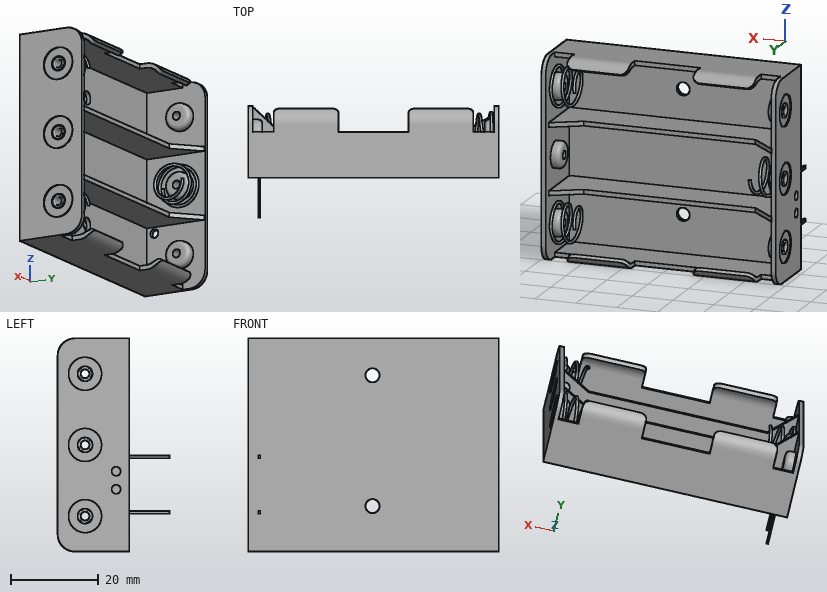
import cadquery as cq
import math


LENGTH = 57.5
DEPTH = 16.5
HEIGHT = 49.0
WALL = 1.1
RIM_Y = 10.6
CORNER_RADIUS = 4.0
INNER_LENGTH = LENGTH - 2 * WALL

CELL_PITCH = 16.35
CELL_AXIS_Y = 10.2
CELL_ZS = [-CELL_PITCH, 0.0, CELL_PITCH]
RIB_ZS = [-CELL_PITCH / 2, CELL_PITCH / 2]

TAB_LENGTH = 14.95
TAB_CENTER_X = 15.45
TAB_ARC = math.radians(60)
TAB_TIP_RADIUS = 1.7

LEFT_GUSSET_Y = 16.3
LEFT_GUSSET_RUN = 6.1
RIGHT_GUSSET_Y = 14.55
RIGHT_GUSSET_RUN = 7.15

MOUNT_HOLE_DIAMETER = 3.15
MOUNT_HOLE_X = -0.25
MOUNT_HOLE_ZS = [-14.05, 16.0]
WIRE_HOLE_DIAMETER = 2.05
WIRE_HOLE_Y = 3.05
WIRE_HOLE_ZS = [-10.2, -6.05]

PIN_LENGTH = 9.2
PIN_WIDTH_X = 0.4
PIN_WIDTH_Z = 0.7
PIN_X = -26.2
PIN_ZS = [-15.45, -2.75]

SEAT_RADIUS = 3.8
SEAT_DEPTH = 0.3
RIVET_SHANK_RADIUS = 1.5
RIVET_RIM_RADIUS = 1.7
RIVET_RIM_ROUNDING = 0.2
RIVET_BORE_RADIUS = 1.0
RIVET_HEAD_RADIUS = 3.2
RIVET_HEAD_LENGTH = 2.2
RIVET_HEAD_ROUNDING = 1.05

WIRE_DIAMETER = 0.65
SPRING_BASE_RADIUS = 4.7
SPRING_TAPER = 0.4
SPRING_CLOSED_TURNS = 0.5
SPRING_CLOSED_PITCH = 0.7
SPRING_OPEN_PITCH = 2.75
SPRING_OPEN_TURNS = 2
CURVE_POINTS_PER_TURN = 16


def box(x_range, y_range, z_range):
    """Box between the given limits."""
    (x0, x1), (y0, y1), (z0, z1) = x_range, y_range, z_range
    return cq.Workplane("XY").box(x1 - x0, y1 - y0, z1 - z0, centered=False).translate((x0, y0, z0))


def rod_along_x(x0, x1, y, z, radius):
    """Cylinder along X from x0 to x1."""
    return cq.Workplane("YZ", origin=(x0, y, z)).circle(radius).extrude(x1 - x0)


def tray():
    """Floor, side walls and end walls; the end walls have rounded open corners."""
    block = cq.Workplane("XY").box(LENGTH, DEPTH, HEIGHT).translate((0, DEPTH / 2, 0))
    block = block.edges("|X and >Y").fillet(CORNER_RADIUS)
    half_inner, half_height = INNER_LENGTH / 2, HEIGHT / 2
    inside = box((-half_inner, half_inner), (WALL, DEPTH), (WALL - half_height, half_height - WALL))
    above_rim = box((-half_inner, half_inner), (RIM_Y, DEPTH), (-half_height, half_height))
    return block.cut(inside).cut(above_rim)


def retaining_tab(center_x):
    """Tab on the +Z side wall: a straight root, then an arc that bends inwards over the cell."""
    arc_y = DEPTH - CORNER_RADIUS
    arc_z = HEIGHT / 2 - CORNER_RADIUS
    inner_radius = CORNER_RADIUS - WALL

    def arc_point(radius, angle):
        return (arc_y + radius * math.sin(angle), arc_z + radius * math.cos(angle))

    profile = (
        cq.Workplane("YZ", origin=(center_x - TAB_LENGTH / 2, 0, 0))
        .moveTo(RIM_Y, HEIGHT / 2)
        .lineTo(*arc_point(CORNER_RADIUS, 0))
        .threePointArc(arc_point(CORNER_RADIUS, TAB_ARC / 2), arc_point(CORNER_RADIUS, TAB_ARC))
        .lineTo(*arc_point(inner_radius, TAB_ARC))
        .threePointArc(arc_point(inner_radius, TAB_ARC / 2), arc_point(inner_radius, 0))
        .lineTo(RIM_Y, HEIGHT / 2 - WALL)
        .close()
    )
    tip_normal = cq.Vector(0, math.cos(TAB_ARC), -math.sin(TAB_ARC))
    tab = profile.extrude(TAB_LENGTH)
    return tab.faces(cq.DirectionMinMaxSelector(tip_normal, True)).edges("not |X").fillet(TAB_TIP_RADIUS)


def rib(center_z):
    """Wall between two cells, rising in a slope to each end wall."""
    end_x = INNER_LENGTH / 2
    outline = [
        (-end_x, WALL),
        (-end_x, LEFT_GUSSET_Y),
        (-end_x + LEFT_GUSSET_RUN, RIM_Y),
        (end_x - RIGHT_GUSSET_RUN, RIM_Y),
        (end_x, RIGHT_GUSSET_Y),
        (end_x, WALL),
    ]
    plate = cq.Workplane("XY", origin=(0, 0, center_z - WALL / 2)).polyline(outline).close()
    return plate.extrude(WALL)


def terminal_pin(center_z):
    """Flat pin standing out of the mounting face."""
    half_x, half_z = PIN_WIDTH_X / 2, PIN_WIDTH_Z / 2
    return box((PIN_X - half_x, PIN_X + half_x), (-PIN_LENGTH, 0), (center_z - half_z, center_z + half_z))


def make_housing():
    """Moulded housing with ribs, tabs, pins and all of its holes."""
    body = tray()
    for z in RIB_ZS:
        body = body.union(rib(z))
    for center_x in (-TAB_CENTER_X, TAB_CENTER_X):
        tab = retaining_tab(center_x)
        body = body.union(tab).union(tab.mirror("XY"))
    for z in PIN_ZS:
        body = body.union(terminal_pin(z))

    for z in MOUNT_HOLE_ZS:
        hole = cq.Workplane("XZ", origin=(MOUNT_HOLE_X, 0, z)).circle(MOUNT_HOLE_DIAMETER / 2)
        body = body.cut(hole.extrude(-WALL))
    for z in WIRE_HOLE_ZS:
        body = body.cut(rod_along_x(-LENGTH / 2, -INNER_LENGTH / 2, WIRE_HOLE_Y, z, WIRE_HOLE_DIAMETER / 2))
    for z in CELL_ZS:
        body = body.cut(rod_along_x(-LENGTH / 2, LENGTH / 2, CELL_AXIS_Y, z, RIVET_SHANK_RADIUS))
        for side in (-1, 1):
            outer_x = side * LENGTH / 2
            body = body.cut(rod_along_x(outer_x, outer_x - side * SEAT_DEPTH, CELL_AXIS_Y, z, SEAT_RADIUS))
    return body


def on_end_wall(left_part, side, z):
    """Turn and move a part made for the left end wall (outer face at X = 0) to the given end and cell."""
    if side > 0:
        left_part = left_part.rotate((0, 0, 0), (0, 1, 0), 180)
    return left_part.translate((side * LENGTH / 2, CELL_AXIS_Y, z))


def make_rivet(side, z):
    """Hollow contact rivet: rolled outer rim, shank through the wall and a rounded inner head."""
    rim = rod_along_x(0, SEAT_DEPTH, 0, 0, RIVET_RIM_RADIUS)
    shank = rod_along_x(SEAT_DEPTH, WALL, 0, 0, RIVET_SHANK_RADIUS)
    head_end = WALL + RIVET_HEAD_LENGTH
    head = rod_along_x(WALL, head_end, 0, 0, RIVET_HEAD_RADIUS).edges(">X").fillet(RIVET_HEAD_ROUNDING)
    bore = rod_along_x(0, head_end, 0, 0, RIVET_BORE_RADIUS)
    rivet = rim.union(shank).union(head).cut(bore).faces("<X").edges().fillet(RIVET_RIM_ROUNDING)
    return on_end_wall(rivet, side, z)


def spring_point(turn):
    """Middle of the spring wire after the given number of turns, starting on the -Y side."""
    closed_turns = min(turn, SPRING_CLOSED_TURNS)
    open_turns = turn - closed_turns
    radius = SPRING_BASE_RADIUS - SPRING_TAPER * open_turns
    start_x = WALL + WIRE_DIAMETER / 2
    x = start_x + SPRING_CLOSED_PITCH * closed_turns + SPRING_OPEN_PITCH * open_turns
    angle = 2 * math.pi * turn
    return cq.Vector(x, -radius * math.cos(angle), -radius * math.sin(angle))


def make_spring(side, z):
    """Conical wire spring that surrounds a rivet head and stands on the end wall."""
    steps = round(CURVE_POINTS_PER_TURN * (SPRING_CLOSED_TURNS + SPRING_OPEN_TURNS))
    points = [spring_point(step / CURVE_POINTS_PER_TURN) for step in range(steps + 1)]
    path = cq.Workplane("XY").spline(points)
    start_plane = cq.Plane(origin=points[0], xDir=(0, 1, 0), normal=path.val().tangentAt(0))
    wire = cq.Workplane(start_plane).circle(WIRE_DIAMETER / 2).sweep(path, isFrenet=True)
    return on_end_wall(wire, side, z)


housing = make_housing()
rivets = [make_rivet(side, z) for side in (-1, 1) for z in CELL_ZS]

springs = [make_spring(1 if z else -1, z) for z in CELL_ZS]

result = cq.Compound.makeCompound([housing.val()] + [part.val() for part in rivets + springs])